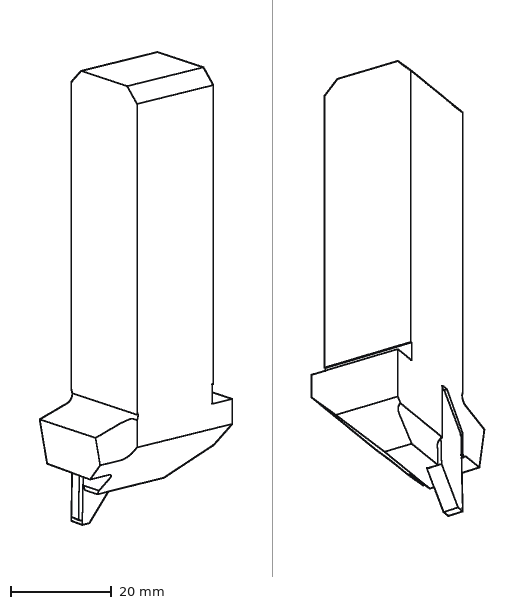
import cadquery as cq
import math

total_height = 94.1
shank = 20.0
end_chamfer = 3.0
blade_bottom = 7.15
front_chamfer_height = 1.1
front_chamfer_depth = 0.6

rear_y = 25.0
shoulder_top = 25.0
rear_corner_z = 14.2
rear_relief_depth = 0.3
rear_relief_top = 29.1

lug_tip_y = -8.3
lug_tip_z = 22.8
lug_slope = math.radians(15)
lug_front_slope = math.radians(11.5)
lug_width = 17.0
lug_side_radius = 1.7
lug_end_top = 25.7
undercut_depth = 0.3
undercut_top = 27.4
undercut_radius = 1.9
lug_blank_bottom = 10.3
side_cut_z = 19.8

lean_angle = 1.5
ledge_z = 13.2
ledge_radius = 1.4
blade_inset = 0.8

insert_width = 3.4
insert_back_y = 7.9
insert_top_back_y = 6.1
insert_front_top = 17.8
insert_tip_length = 1.9
ridge_x = 2.5
ridge_height = 0.3
ridge_start = 0.9
ridge_end = 13.2

clearance = 18.8


def lean(body):
    return body.rotate((0, 0, 0), (0, 1, 0), lean_angle)


def block(x0, x1, y0, y1, z0, z1):
    return cq.Workplane("XY").box(x1 - x0, y1 - y0, z1 - z0, centered=False).translate((x0, y0, z0))


def make_holder_blank():
    corner_z = lug_tip_z + (undercut_depth - lug_tip_y) * math.tan(lug_slope)
    tangent = undercut_radius * math.tan((math.pi / 2 - lug_slope) / 2)
    arc_top = (undercut_depth, corner_z + tangent)
    arc_end = (undercut_depth - tangent * math.cos(lug_slope), corner_z - tangent * math.sin(lug_slope))
    centre_y = undercut_depth - undercut_radius
    mid_angle = (math.pi / 2 - lug_slope) / 2
    arc_mid = (centre_y + undercut_radius * math.cos(mid_angle),
               arc_top[1] - undercut_radius * math.sin(mid_angle))
    lug_foot_y = lug_tip_y + (lug_tip_z - lug_blank_bottom) * math.tan(lug_front_slope)
    rear_relief_y = shank - rear_relief_depth

    return (
        cq.Workplane("YZ")
        .moveTo(0, total_height)
        .lineTo(0, undercut_top)
        .lineTo(*arc_top)
        .threePointArc(arc_mid, arc_end)
        .lineTo(lug_tip_y, lug_tip_z)
        .lineTo(lug_foot_y, lug_blank_bottom)
        .lineTo(0, lug_blank_bottom)
        .lineTo(0, blade_bottom + front_chamfer_height)
        .lineTo(front_chamfer_depth, blade_bottom)
        .lineTo(rear_y - (rear_corner_z - blade_bottom), blade_bottom)
        .lineTo(rear_y, rear_corner_z)
        .lineTo(rear_y, shoulder_top)
        .lineTo(rear_relief_y, shoulder_top)
        .lineTo(rear_relief_y, rear_relief_top)
        .lineTo(shank, rear_relief_top)
        .lineTo(shank, total_height)
        .close()
        .extrude(shank)
        .faces(">Z").edges("|Y").chamfer(end_chamfer)
    )


def lug_side_cutter():
    cutter = block(lug_width, shank + clearance, lug_tip_y - clearance, 0, 0, lug_end_top)
    return cutter.edges("<X and >Y").fillet(lug_side_radius)


def corner_cutter():
    reach = side_cut_z + clearance
    return (
        cq.Workplane("XZ", origin=(0, rear_y, 0))
        .moveTo(shank, side_cut_z)
        .lineTo(shank - reach, side_cut_z - reach)
        .lineTo(shank, side_cut_z - reach)
        .close()
        .extrude(rear_y - lug_tip_y)
    )


def front_ledge_cutter():
    cutter = block(-clearance, shank + clearance, lug_tip_y - clearance, 0, -clearance, ledge_z)
    return lean(cutter.edges(">Y and >Z").fillet(ledge_radius))


def side_ledge_cutter():
    cutter = block(-clearance, blade_inset, 0, rear_y + clearance, -clearance, ledge_z)
    return lean(cutter.edges(">X and >Z").fillet(ledge_radius))


def make_insert():
    tip_z = insert_width * math.tan(math.radians(lean_angle))
    plate = (
        cq.Workplane("YZ")
        .polyline([
            (0, tip_z),
            (insert_tip_length, tip_z),
            (insert_back_y, blade_bottom),
            (insert_back_y, shoulder_top),
            (insert_top_back_y, shoulder_top),
            (0, insert_front_top),
        ])
        .close()
        .extrude(insert_width)
    )
    ridge = (
        cq.Workplane("XY", origin=(0, 0, ridge_start))
        .polyline([(0, 0), (ridge_x, -ridge_height), (insert_width, 0)])
        .close()
        .extrude(ridge_end - ridge_start)
    )
    return lean(plate.union(ridge))


def make_holder(insert):
    holder = make_holder_blank()
    for cutter in (lug_side_cutter(), corner_cutter(), front_ledge_cutter(), side_ledge_cutter()):
        holder = holder.cut(cutter)
    pocket_opening = insert.translate((-insert_width / 2, 0, 0))
    return holder.cut(pocket_opening).cut(insert)


insert = make_insert()
holder = make_holder(insert)

result = cq.Compound.makeCompound([holder.solids().val(), insert.solids().val()])